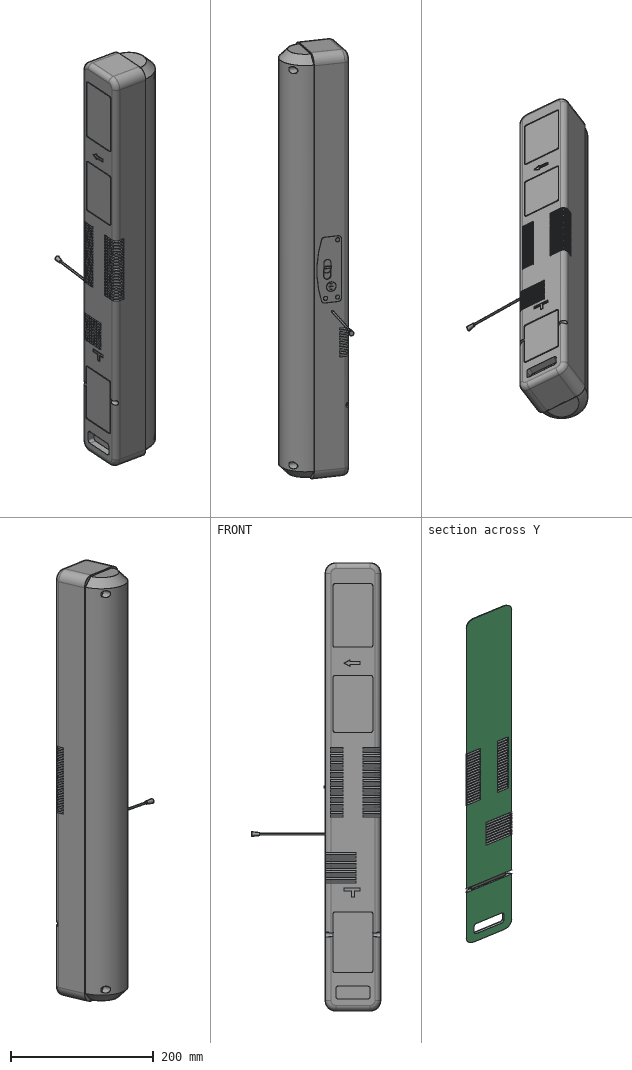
import cadquery as cq

overall_depth = 91.5
overall_width = 180.85
height = 628.0
width = 78.0
dome_radius = 37.0
cover_thickness = 1.0
housing_depth = overall_depth - cover_thickness
front_y = dome_radius - housing_depth
side_x = width / 2
top_z = height / 2

corner_radius = 15.0
front_fillet = 8.0
dome_inset = 2.0
dome_chamfer = 12.5

panel_width = 55.5
panel_corner = 2.5
panel_recess = 0.8
upper_panels = [(240.3, 89.0), (116.3, 79.5)]
cover_z = -217.6
cover_height = 85.0
cover_embed = 1.5

pocket_width = 48.0
pocket_height = 18.5
pocket_z = -288.0
pocket_corner = 4.0
pocket_depth = 10.0

groove_radius = 3.5
groove_z = -207.0
groove_axis_depth = 2.5

arrow_depth = 0.8
arrow_tip_x = -12.5
arrow_tail_x = 10.0
arrow_shaft = 4.0
arrow_head_start_x = -4.0
arrow_head_span = 9.0
upper_mark_z = 173.5
lower_mark_z = -143.5
lower_mark_stem = 11.0

vent_pitch = 5.0
vent_slot = vent_pitch / 2
vent_depth = 15.5
upper_vent_top = 55.5
upper_vent_count = 20
upper_vent_inner_x = 14.0
upper_vent_outer_left_x = -31.5
lower_vent_top = -92.0
lower_vent_count = 9
lower_vent_inner_x = 4.5

plate_top = 44.5
plate_bottom = -52.5
plate_front_y = -40.5
plate_back_y = -12.0
plate_bulge = 8.0
plate_corner = 5.0
plate_recess = 0.5

switch_y = -19.7
switch_width = 10.5
switch_top = 11.0
switch_bottom = -18.0
switch_depth = 2.0
slider_length = 20.0
slider_rise = 1.0
ridge_z = -0.2
ridge_height = 3.0
ridge_rise = 3.5

dial_y = -25.5
dial_z = -29.5
dial_diameter = 14.0
dial_recess = 1.0
dial_slit_height = 0.5
dial_slit_pitch = 4.0
dial_slit_lengths = [2.5, 6.0, 2.5]

screw_diameter = 6.0
screw_depth = 1.0
screw_places = [(-35.0, 38.5), (-35.0, -46.0), (-17.0, -46.0)]

dome_hole_diameter = 10.0
dome_hole_x = 25.0
dome_hole_z = 291.5
dome_hole_floor_y = 18.0

cord_reach = overall_width - width
cord_diameter = 2.8
cord_z = -66.0
cord_root_y = -27.0
cord_insertion = 3.0
cord_slope = 0.066
grip_length = 11.0
grip_end_diameter = 7.0
grip_neck_diameter = 4.5
grip_rise = 2.0
grip_overlap = 2.0


def block(x_range, y_range, z_range):
    """Axis-aligned box given by its end coordinates."""
    (x0, x1), (y0, y1), (z0, z1) = x_range, y_range, z_range
    return cq.Workplane("XY").box(x1 - x0, y1 - y0, z1 - z0, centered=False).translate((x0, y0, z0))


def front_plane(center_x, center_z):
    """Sketch plane on the front face, its normal pointing out to -Y."""
    return cq.Workplane("XZ", origin=(center_x, front_y, center_z))


def side_plane(y=0, z=0, depth=0):
    """Sketch plane on the -X side (local x = -Y, local y = Z), normal pointing out to -X."""
    place = cq.Plane(origin=(-side_x + depth, y, z), xDir=(0, -1, 0), normal=(-1, 0, 0))
    return cq.Workplane(place)


def rounded_panel(center_z, panel_height, thickness):
    """Rounded rectangle raised from (+) or sunk into (-) the front face."""
    panel = front_plane(0, center_z).rect(panel_width, panel_height).extrude(thickness)
    return panel.edges("|Y").fillet(panel_corner)


def make_shell():
    """Rounded front box joined to the domed back with chamfered ends."""
    box = block((-side_x, side_x), (front_y, 0), (-top_z, top_z))
    box = box.edges("|Y").fillet(corner_radius)
    box = box.faces("<Y").edges().fillet(front_fillet)
    dome_top = top_z - dome_inset
    dome = cq.Workplane("XY").circle(dome_radius).extrude(2 * dome_top).translate((0, 0, -dome_top))
    dome = dome.faces("<Z or >Z").edges().chamfer(dome_chamfer)
    back_half = block((-side_x, side_x), (0, dome_radius), (-top_z, top_z))
    return box.union(dome.intersect(back_half))


def vent(x_range, top, count):
    """Column of horizontal slots cut into the front."""
    slots = cq.Workplane("XY")
    for index in range(count):
        slot_top = top - index * vent_pitch
        slots = slots.add(block(x_range, (front_y, front_y + vent_depth), (slot_top - vent_slot, slot_top)))
    return slots.combine()


def shape_front(body):
    """Sunk panels, pocket, cross groove, engraved marks and the raised cover bridging the groove."""
    for center_z, panel_height in upper_panels:
        body = body.cut(rounded_panel(center_z, panel_height, -panel_recess))
    pocket = front_plane(0, pocket_z).rect(pocket_width, pocket_height).extrude(-pocket_depth)
    body = body.cut(pocket.edges("|Y").fillet(pocket_corner))
    groove = (
        cq.Workplane("YZ", origin=(-side_x, front_y + groove_axis_depth, groove_z))
        .circle(groove_radius)
        .extrude(width)
    )
    body = body.cut(groove)
    body = body.cut(upper_mark()).cut(lower_mark())
    cover = rounded_panel(cover_z, cover_height, cover_thickness)
    cover_base = rounded_panel(cover_z, cover_height, -cover_embed)
    return body.union(cover).union(cover_base)


def upper_mark():
    """Engraved arrow pointing to -X."""
    shaft = arrow_shaft / 2
    head = arrow_head_span / 2
    outline = [
        (arrow_tip_x, 0),
        (arrow_head_start_x, head),
        (arrow_head_start_x, shaft),
        (arrow_tail_x, shaft),
        (arrow_tail_x, -shaft),
        (arrow_head_start_x, -shaft),
        (arrow_head_start_x, -head),
    ]
    return front_plane(0, upper_mark_z).polyline(outline).close().extrude(-arrow_depth)


def lower_mark():
    """Engraved bar with a short stem below it."""
    bar = front_plane((arrow_tip_x + arrow_tail_x) / 2, lower_mark_z)
    bar = bar.rect(arrow_tail_x - arrow_tip_x, arrow_shaft).extrude(-arrow_depth)
    stem = front_plane(0, lower_mark_z - lower_mark_stem / 2)
    stem = stem.rect(arrow_shaft, lower_mark_stem).extrude(-arrow_depth)
    return bar.union(stem)


def cut_vents(body):
    """Two long vents facing the front and a short one wrapping round the -X edge."""
    left = (upper_vent_outer_left_x, -upper_vent_inner_x)
    right = (upper_vent_inner_x, side_x)
    lower = (-side_x, lower_vent_inner_x)
    body = body.cut(vent(left, upper_vent_top, upper_vent_count))
    body = body.cut(vent(right, upper_vent_top, upper_vent_count))
    return body.cut(vent(lower, lower_vent_top, lower_vent_count))


def shape_control_plate(body):
    """Sunk plate with one bowed edge, holding switch, dial and screw recesses."""
    plate = (
        side_plane()
        .moveTo(-plate_back_y, plate_top)
        .lineTo(-plate_front_y, plate_top)
        .lineTo(-plate_front_y, plate_bottom)
        .lineTo(-plate_back_y, plate_bottom)
        .threePointArc(
            (-plate_back_y - plate_bulge, (plate_top + plate_bottom) / 2),
            (-plate_back_y, plate_top),
        )
        .close()
        .extrude(-plate_recess)
        .edges("|X")
        .fillet(plate_corner)
    )
    body = body.cut(plate)
    body = cut_dial(body)
    body = add_switch(body)
    for y, z in screw_places:
        head = side_plane(y, z).circle(screw_diameter / 2).extrude(-screw_depth)
        body = body.cut(head)
    return body


def cut_dial(body):
    """Round recess with three slits in its floor."""
    body = body.cut(side_plane(dial_y, dial_z).circle(dial_diameter / 2).extrude(-dial_recess))
    for index, length in enumerate(dial_slit_lengths):
        slit_z = dial_z + (1 - index) * dial_slit_pitch
        slit = side_plane(dial_y, slit_z).rect(length, dial_slit_height).extrude(-2 * dial_recess)
        body = body.cut(slit)
    return body


def add_switch(body):
    """Obround slot with a slider at its upper end and a finger ridge across the slider."""
    slot_length = switch_top - switch_bottom
    slot = side_plane(switch_y, (switch_top + switch_bottom) / 2).slot2D(slot_length, switch_width, 90)
    slider = side_plane(switch_y, switch_top - slider_length / 2, switch_depth)
    slider = slider.slot2D(slider_length, switch_width, 90).extrude(slider_rise)
    ridge = side_plane(switch_y, ridge_z, switch_depth)
    ridge = ridge.rect(switch_width, ridge_height).extrude(ridge_rise)
    return body.cut(slot.extrude(-switch_depth)).union(slider).union(ridge)


def cut_dome_holes(body):
    """Flat-bottomed holes sunk from the back into both flanks of the dome, near both ends."""
    places = [(x, z) for x in (-dome_hole_x, dome_hole_x) for z in (-dome_hole_z, dome_hole_z)]
    holes = (
        cq.Workplane("XZ", origin=(0, dome_radius, 0))
        .pushPoints(places)
        .circle(dome_hole_diameter / 2)
        .extrude(dome_radius - dome_hole_floor_y)
    )
    return body.cut(holes)


def make_cord():
    """Pull cord sloping out of the -X side, ending in a conical grip."""
    neck_x = -side_x - cord_reach + grip_length
    neck_y = cord_root_y + (-side_x - neck_x) * cord_slope
    run = cq.Vector(-1, cord_slope, 0)
    start = cq.Vector(-side_x + cord_insertion, cord_root_y - cord_insertion * cord_slope, cord_z)
    neck = cq.Vector(neck_x, neck_y, cord_z)
    line_length = (neck - start).Length + grip_overlap
    line = cq.Workplane(cq.Solid.makeCylinder(cord_diameter / 2, line_length, start, run))
    grip = (
        cq.Workplane("YZ", origin=(neck_x, neck_y, cord_z))
        .circle(grip_neck_diameter / 2)
        .workplane(offset=-grip_length)
        .center(grip_rise, 0)
        .circle(grip_end_diameter / 2)
        .loft()
    )
    return line.union(grip)


cord = make_cord()
housing = make_shell()
housing = shape_front(housing)
housing = cut_vents(housing)
housing = shape_control_plate(housing)
housing = cut_dome_holes(housing)
housing = housing.cut(cord)

result = cq.Compound.makeCompound([housing.val(), cord.val()])